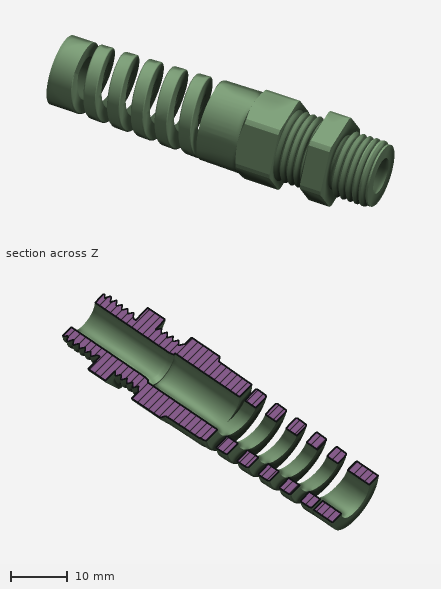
import cadquery as cq
import math

COLLAR_END = 4.34
SPRING_END = 29.5
NUT_FLARE_END = 37.1
NUT_CHAMFER_END = 37.6
NUT_END = 44.16
FLANGE_START = 50.07
FLANGE_END = 54.09
TOTAL_LENGTH = 61.98

ACROSS_FLATS = 14.99
CORNER_RADIUS = 16.78 / 2

COLLAR_RADIUS = 6.45
SPRING_BASE_RADIUS = 7.25
GROOVE_PITCH = 4.68
GROOVE_WIDTH = 2.15
GROOVE_EDGE_ROUND = 0.3
GROOVE_START = 7.25 - GROOVE_PITCH
GROOVE_OVERSHOOT = 1.0

NUT_RADIUS = 7.37
NUT_MIDDLE_RADIUS = 7.42
NUT_FLARE_RADIUS = ACROSS_FLATS / 2

THREAD_PITCH = 1.31
CAP_THREAD_ROOT = 5.65
CAP_THREAD_CREST = 6.6
NECK_END = 54.45
NECK_RADIUS = 5.05
ENTRY_THREAD_ROOT = 5.2
ENTRY_THREAD_CREST = 6.1
ENTRY_FIRST_CREST = 55.36
CREST_FLATS = (0, 0, 0, 0.2, 0.37)
LEAD_CREST_START = 61.65
END_RADIUS = 5.75

SPRING_BORE_RADIUS = 7.75 / 2
SEAT_RADIUS = 7.0 / 2
SEAT_CONE_LENGTH = 1.0
THROUGH_RADIUS = 6.6 / 2


def cylinder(start, end, radius):
    return cq.Workplane("YZ", origin=(start, 0, 0)).circle(radius).extrude(end - start)


def cone(start, end, start_radius, end_radius):
    points = [(start, 0), (start, start_radius), (end, end_radius), (end, 0)]
    return revolve_outline(cq.Workplane("XY").polyline(points))


def revolve_outline(outline):
    return outline.close().revolve(360, (0, 0, 0), (1, 0, 0))


def hexagon(start, end):
    """Hexagonal prism along X with flats on +Z and -Z."""
    across_corners = ACROSS_FLATS / math.cos(math.pi / 6)
    return cq.Workplane("YZ", origin=(start, 0, 0)).polygon(6, across_corners).extrude(end - start)


def helical_groove():
    """Radial groove cutter with rounded mouth edges, following the sleeve's taper."""
    taper = (SPRING_BASE_RADIUS - COLLAR_RADIUS) / (SPRING_END - COLLAR_END)
    mouth = COLLAR_RADIUS + taper * (GROOVE_START - COLLAR_END)
    floor = SPRING_BORE_RADIUS - GROOVE_OVERSHOOT
    top = mouth + GROOVE_OVERSHOOT
    side = GROOVE_WIDTH / 2
    edge = GROOVE_EDGE_ROUND
    bulge = edge * (1 - math.sqrt(0.5))
    profile = (
        cq.Workplane("XZ")
        .moveTo(floor, -side)
        .lineTo(mouth - edge, -side)
        .threePointArc((mouth - bulge, -side - bulge), (mouth, -side - edge))
        .lineTo(top, -side - edge)
        .lineTo(top, side + edge)
        .lineTo(mouth, side + edge)
        .threePointArc((mouth - bulge, side + bulge), (mouth - edge, side))
        .lineTo(floor, side)
        .close()
    )
    length = SPRING_END + GROOVE_PITCH - GROOVE_START
    path = cq.Wire.makeHelix(GROOVE_PITCH, length, mouth, angle=math.degrees(math.atan(taper)))
    cutter = (
        profile.sweep(cq.Workplane(path), isFrenet=True)
        .rotate((0, 0, 0), (0, 1, 0), 90)
        .translate((GROOVE_START, 0, 0))
    )
    return cutter.intersect(cylinder(COLLAR_END, SPRING_END, 2 * SPRING_BASE_RADIUS))


def spring():
    collar = cylinder(0, COLLAR_END, COLLAR_RADIUS)
    sleeve = cone(COLLAR_END, SPRING_END, COLLAR_RADIUS, SPRING_BASE_RADIUS)
    bore = cylinder(0, SPRING_END, SPRING_BORE_RADIUS)
    return collar.union(sleeve).cut(bore).cut(helical_groove())


def cap_nut():
    """Flared round body and chamfered hexagon, both trimmed by the hexagon's flats."""
    middle = (SPRING_END + NUT_FLARE_END) / 2
    outline = (
        cq.Workplane("XY")
        .moveTo(SPRING_END, 0)
        .lineTo(SPRING_END, NUT_RADIUS)
        .threePointArc((middle, NUT_MIDDLE_RADIUS), (NUT_FLARE_END, NUT_FLARE_RADIUS))
        .lineTo(NUT_CHAMFER_END, CORNER_RADIUS)
        .lineTo(NUT_END, CORNER_RADIUS)
        .lineTo(NUT_END, 0)
    )
    return revolve_outline(outline).intersect(hexagon(SPRING_END, NUT_END))


def flange():
    return cylinder(FLANGE_START, FLANGE_END, CORNER_RADIUS).intersect(hexagon(FLANGE_START, FLANGE_END))


def cap_thread():
    """Thread between nut and flange; its first and last ridges are cut short by them."""
    points = [(NUT_END, 0), (NUT_END, CAP_THREAD_CREST)]
    crest = NUT_END + THREAD_PITCH
    while crest < FLANGE_START:
        points += [(crest - THREAD_PITCH / 2, CAP_THREAD_ROOT), (crest, CAP_THREAD_CREST)]
        crest += THREAD_PITCH
    points += [(FLANGE_START, CAP_THREAD_ROOT), (FLANGE_START, 0)]
    return revolve_outline(cq.Workplane("XY").polyline(points))


def entry_thread():
    """Thread on the +X end, starting from a short neck slightly below its root diameter."""
    points = [(FLANGE_END, 0), (FLANGE_END, NECK_RADIUS), (NECK_END, NECK_RADIUS)]
    for index, flat in enumerate(CREST_FLATS):
        crest = ENTRY_FIRST_CREST + index * THREAD_PITCH
        points += [
            (crest - THREAD_PITCH / 2, ENTRY_THREAD_ROOT),
            (crest - flat / 2, ENTRY_THREAD_CREST),
        ]
        if flat:
            points.append((crest + flat / 2, ENTRY_THREAD_CREST))
    last_root = ENTRY_FIRST_CREST + (len(CREST_FLATS) - 0.5) * THREAD_PITCH
    points += [
        (last_root, ENTRY_THREAD_ROOT),
        (LEAD_CREST_START, END_RADIUS),
        (TOTAL_LENGTH, END_RADIUS),
        (TOTAL_LENGTH, 0),
    ]
    return revolve_outline(cq.Workplane("XY").polyline(points))


def bore():
    """Wide bore through the nut, then a conical seat narrowing to the through hole."""
    seat_end = NUT_END + SEAT_CONE_LENGTH
    wide = cylinder(SPRING_END, NUT_END, SPRING_BORE_RADIUS)
    seat = cone(NUT_END, seat_end, SEAT_RADIUS, THROUGH_RADIUS)
    through = cylinder(seat_end, TOTAL_LENGTH, THROUGH_RADIUS)
    return wide.union(seat).union(through)


body = cap_nut().union(cap_thread()).union(flange()).union(entry_thread())
result = spring().union(body.cut(bore()))